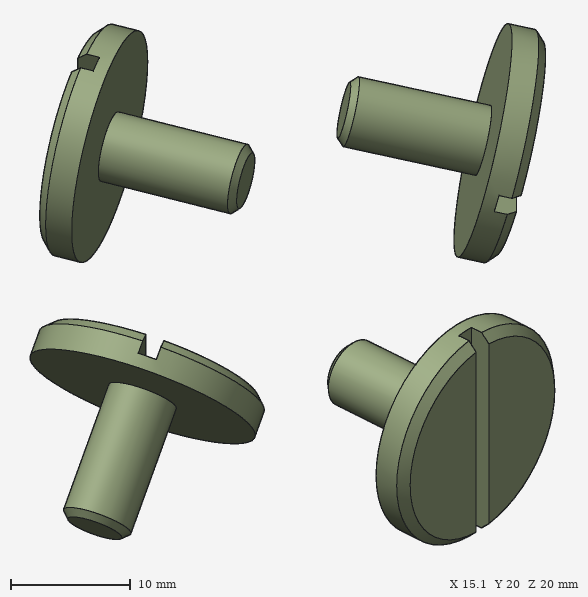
import cadquery as cq

head_diameter = 20
head_thickness = 3.1
head_chamfer = 0.8
shank_diameter = 6
shank_length = 12
shank_chamfer = 0.6
slot_width = 1.6
slot_depth = 1.92


def make_head():
    """Disc with a chamfered rim around its slotted face."""
    disc = cq.Workplane("YZ").circle(head_diameter / 2).extrude(head_thickness)
    return disc.faces("<X").chamfer(head_chamfer)


def make_shank():
    """Plain pin behind the head with a chamfered tip."""
    pin = (
        cq.Workplane("YZ")
        .workplane(offset=head_thickness)
        .circle(shank_diameter / 2)
        .extrude(shank_length)
    )
    return pin.faces(">X").chamfer(shank_chamfer)


def make_slot():
    """Driver slot running across the full head along Z."""
    return cq.Workplane("XY").box(
        slot_depth, slot_width, head_diameter, centered=(False, True, True)
    )


result = make_head().union(make_shank()).cut(make_slot())